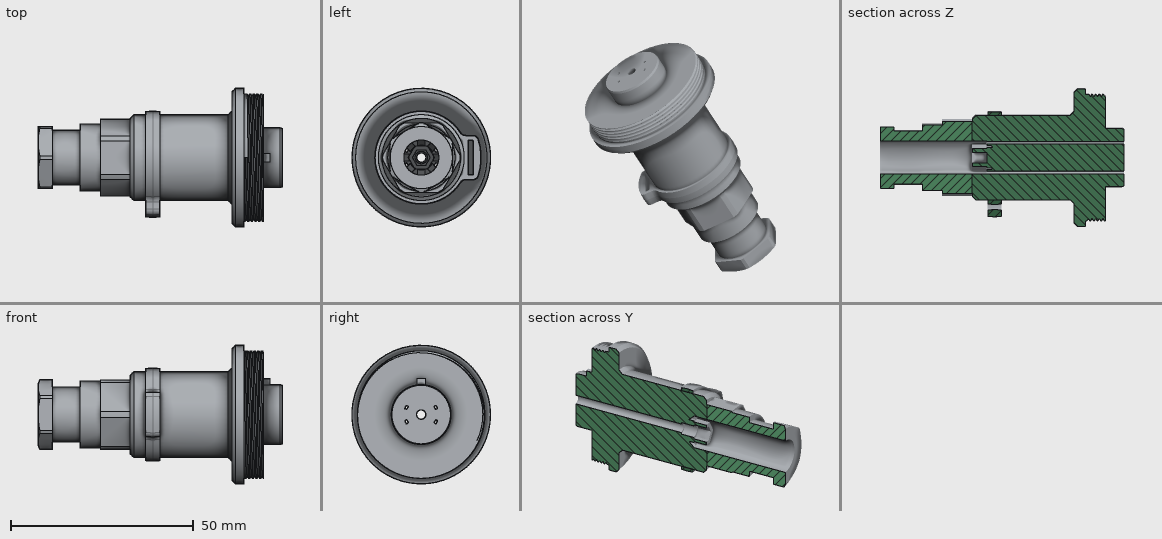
import cadquery as cq
import math


nut_end = 3.9
shaft_end = 11.5
collar_end = 17.0
hex_end = 25.15
barrel_end = 51.95
flange_start = 52.95
flange_end = 56.25
thread_end = 61.65
total_length = 66.75

nut_across_flats = 17.0
nut_corner_diameter = 19.1
nut_chamfer = 0.45
shaft_diameter = 15.1
collar_diameter = 18.4
hex_across_flats = 19.0
hex_corner_diameter = 21.1
cable_bore_diameter = 9.6

barrel_diameter = 23.5
barrel_chamfer = 1.0
flange_diameter = 37.96
flange_chamfer = 1.0
thread_diameter = 34.9
thread_pitch = 1.0
thread_depth = 0.6
thread_flank_angle = 30.0
insert_diameter = 16.4
insert_chamfer_length = 0.6
insert_chamfer_depth = 0.2
key_width = 2.3
key_top = 9.8
key_end = 63.4

core_hex_across_flats = 6.2
core_recess_depth = 4.0
contact_hex_across_flats = 4.2
contact_hex_depth = 4.0
contact_counterbore_diameter = 3.4
contact_counterbore_depth = 8.0
contact_hole_diameter = 2.5
finger_count = 8
finger_slot_width = 2.0
finger_slot_inner_radius = 3.4
finger_slot_depth = 1.5
vent_angle = 26.0
vent_length = 0.9
vent_width = 0.55
vent_radius = 4.45

ring_start = 29.4
ring_width = 3.85
ring_diameter = 25.5
ring_draft_angle = 4.0
tab_reach = 16.4
tab_half_width = 6.1
tab_corner_radius = 1.6
tab_root_radius = 1.75
strap_slot_center = 13.5
strap_slot_length = 9.3
strap_slot_width = 1.25
strap_slot_corner_radius = 0.25


def plane_at(x):
    """Plane across the axis: local x is Y, local y is Z, normal is +X."""
    return cq.Workplane("YZ", origin=(x, 0, 0))


def disc(x_start, x_end, diameter):
    return plane_at(x_start).circle(diameter / 2).extrude(x_end - x_start)


def hexagon(x_start, x_end, across_flats, flat_angle):
    """Hexagonal prism with one flat facing flat_angle degrees from +Y."""
    corner_diameter = across_flats / math.cos(math.radians(30))
    prism = plane_at(x_start).polygon(6, corner_diameter).extrude(x_end - x_start)
    return prism.rotate((0, 0, 0), (1, 0, 0), flat_angle - 30)


def revolved(points):
    """Solid turned about the X axis from (x, radius) points."""
    return cq.Workplane("XY").polyline(points).close().revolve(360, (0, 0, 0), (1, 0, 0))


def make_gland():
    nut_envelope = revolved([
        (0, 0),
        (0, nut_across_flats / 2),
        (nut_chamfer, nut_corner_diameter / 2),
        (nut_end, nut_corner_diameter / 2),
        (nut_end, 0),
    ])
    nut = hexagon(0, nut_end, nut_across_flats, 0).intersect(nut_envelope)
    shaft = disc(nut_end, shaft_end, shaft_diameter)
    collar = disc(shaft_end, collar_end, collar_diameter)
    wrench_hex = hexagon(collar_end, hex_end, hex_across_flats, 90)
    wrench_hex = wrench_hex.intersect(disc(collar_end, hex_end, hex_corner_diameter))
    bore = disc(0, hex_end, cable_bore_diameter)
    return nut.union(shaft).union(collar).union(wrench_hex).cut(bore)


def housing_blank():
    barrel_radius = barrel_diameter / 2
    neck_radius = barrel_radius + flange_start - barrel_end
    flange_radius = flange_diameter / 2
    thread_radius = thread_diameter / 2
    insert_radius = insert_diameter / 2
    return revolved([
        (hex_end, 0),
        (hex_end, barrel_radius - barrel_chamfer),
        (hex_end + barrel_chamfer, barrel_radius),
        (barrel_end, barrel_radius),
        (flange_start, neck_radius),
        (flange_start, flange_radius - flange_chamfer),
        (flange_start + flange_chamfer, flange_radius),
        (flange_end, flange_radius),
        (flange_end, thread_radius),
        (thread_end, thread_radius),
        (thread_end, insert_radius),
        (total_length - insert_chamfer_length, insert_radius),
        (total_length, insert_radius - insert_chamfer_depth),
        (total_length, 0),
    ])


def thread_groove():
    """V groove following a helix, from just clear of the flange out past the thread's end."""
    crest_radius = thread_diameter / 2
    root_radius = crest_radius - thread_depth
    half_mouth = thread_depth * math.tan(math.radians(thread_flank_angle))
    overshoot = 0.1
    half_mouth_outside = half_mouth * (thread_depth + overshoot) / thread_depth
    start = flange_end + half_mouth + overshoot
    length = thread_end - start + thread_pitch
    axis = cq.Vector(1, 0, 0)
    helix = cq.Wire.makeHelix(thread_pitch, length, root_radius, cq.Vector(start, 0, 0), axis)
    helix_start = helix.startPoint()
    outward = cq.Vector(0, helix_start.y, helix_start.z)
    section_plane = cq.Plane(helix_start, axis, axis.cross(outward))
    section = (
        cq.Workplane(section_plane)
        .polyline([
            (0, 0),
            (half_mouth_outside, thread_depth + overshoot),
            (-half_mouth_outside, thread_depth + overshoot),
        ])
        .close()
    )
    return section.sweep(cq.Workplane(obj=helix), isFrenet=True)


def key():
    return (
        cq.Workplane("XY")
        .center((thread_end + key_end) / 2, 0)
        .rect(key_end - thread_end, key_width)
        .extrude(key_top)
    )


def contact_hole():
    pocket = hexagon(hex_end, hex_end + contact_hex_depth, contact_hex_across_flats, 90)
    counterbore = disc(hex_end, hex_end + contact_counterbore_depth, contact_counterbore_diameter)
    hole = disc(hex_end, total_length, contact_hole_diameter)
    return pocket.union(counterbore).union(hole)


def core_recess():
    """Ring-shaped recess that leaves a hexagonal boss around the contact."""
    recess_end = hex_end + core_recess_depth
    recess = disc(hex_end, recess_end, cable_bore_diameter)
    return recess.cut(hexagon(hex_end, recess_end, core_hex_across_flats, 90))


def finger_slots():
    """Radial slots in the recess floor, each with a conical outer wall that closes inward."""
    floor = hex_end + core_recess_depth
    bore_radius = cable_bore_diameter / 2
    tip = floor + finger_slot_depth
    cone = revolved([
        (floor, finger_slot_inner_radius),
        (floor, bore_radius),
        (tip, finger_slot_inner_radius),
    ])
    blade = (
        plane_at(floor)
        .center(0, bore_radius / 2)
        .rect(finger_slot_width, bore_radius)
        .extrude(finger_slot_depth)
    )
    slot = cone.intersect(blade)
    return [slot.rotate((0, 0, 0), (1, 0, 0), i * 360 / finger_count) for i in range(finger_count)]


def vents():
    """Four narrow passages running the whole length of the housing."""
    vent = (
        plane_at(hex_end)
        .center(vent_radius, 0)
        .rect(vent_width, vent_length)
        .extrude(total_length - hex_end)
    )
    angles = [vent_angle, -vent_angle, 180 - vent_angle, 180 + vent_angle]
    return [vent.rotate((0, 0, 0), (1, 0, 0), angle) for angle in angles]


def make_housing():
    housing = housing_blank().cut(thread_groove()).union(key())
    housing = housing.cut(core_recess()).cut(contact_hole())
    for opening in finger_slots() + vents():
        housing = housing.cut(opening)
    return housing


def ring_outline(workplane):
    """Circle with a strap tab toward -Y, every tab corner rounded by a tangent arc."""
    ring_radius = ring_diameter / 2

    root_z = tab_half_width + tab_root_radius
    root_y = -math.sqrt((ring_radius + tab_root_radius) ** 2 - root_z ** 2)
    corner_z = tab_half_width - tab_corner_radius
    corner_y = -math.sqrt((tab_reach - tab_corner_radius) ** 2 - corner_z ** 2)

    root_share = ring_radius / (ring_radius + tab_root_radius)
    end_share = tab_reach / (tab_reach - tab_corner_radius)
    on_ring = (root_y * root_share, root_z * root_share)
    side_root = (root_y, tab_half_width)
    side_corner = (corner_y, tab_half_width)
    on_end = (corner_y * end_share, corner_z * end_share)

    root_mid_angle = (math.atan2(-root_z, -root_y) - math.pi / 2) / 2
    corner_mid_angle = (math.atan2(corner_z, corner_y) + math.pi / 2) / 2
    root_mid = (
        root_y + tab_root_radius * math.cos(root_mid_angle),
        root_z + tab_root_radius * math.sin(root_mid_angle),
    )
    corner_mid = (
        corner_y + tab_corner_radius * math.cos(corner_mid_angle),
        corner_z + tab_corner_radius * math.sin(corner_mid_angle),
    )

    def mirrored(point):
        return (point[0], -point[1])

    return (
        workplane.moveTo(*on_ring)
        .threePointArc(root_mid, side_root)
        .lineTo(*side_corner)
        .threePointArc(corner_mid, on_end)
        .threePointArc((-tab_reach, 0), mirrored(on_end))
        .threePointArc(mirrored(corner_mid), mirrored(side_corner))
        .lineTo(*mirrored(side_root))
        .threePointArc(mirrored(root_mid), mirrored(on_ring))
        .threePointArc((ring_radius, 0), on_ring)
        .close()
    )


def strap_slot_half(middle):
    """Half of the strap slot, widening from the middle of the ring toward the flange."""
    slot_outline = cq.Sketch().rect(strap_slot_width, strap_slot_length)
    slot_outline = slot_outline.vertices().fillet(strap_slot_corner_radius)
    slot_plane = plane_at(middle).center(-strap_slot_center, 0)
    return slot_plane.placeSketch(slot_outline).extrude(ring_width / 2, taper=-ring_draft_angle)


def make_ring():
    half_width = ring_width / 2
    middle = ring_start + half_width
    toward_flange = ring_outline(plane_at(middle)).extrude(half_width, taper=ring_draft_angle)
    toward_flange = toward_flange.cut(strap_slot_half(middle))
    toward_nut = toward_flange.mirror("YZ", (middle, 0, 0))
    bore = disc(ring_start, ring_start + ring_width, barrel_diameter)
    return toward_nut.union(toward_flange).cut(bore)


gland = make_gland()
housing = make_housing()
strap_ring = make_ring()

result = cq.Compound.makeCompound([gland.val(), housing.val(), strap_ring.val()])